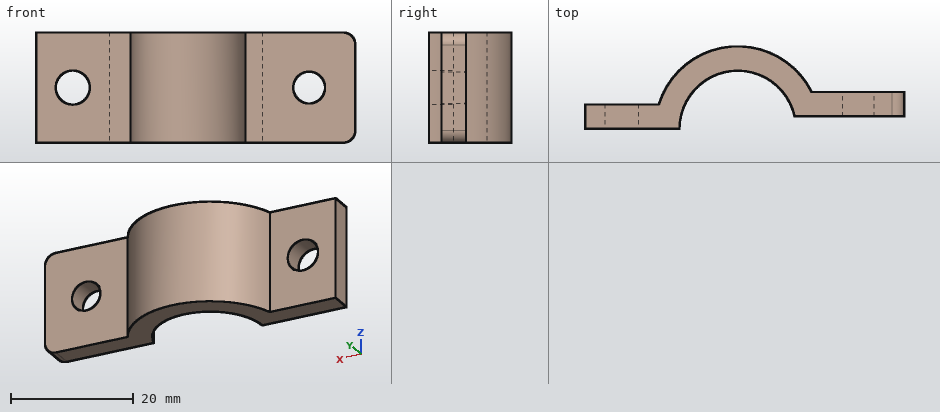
import cadquery as cq
import math

length = 52.0
width = 18.0
thickness = 4.0

outer_radius = 13.45
inner_radius = outer_radius - thickness
saddle_x = 24.85

right_step = 2.05
corner_radius = 2.05

left_hole_diameter = 5.5
left_hole_x = 6.0
right_hole_diameter = 5.15
right_hole_x = 44.45


def half_chord(radius, height):
    """Half width of a saddle circle at a given height above its centre."""
    return math.sqrt(radius**2 - height**2)


def clamp_body():
    """Constant-thickness clamp profile in XY, extruded over the full width."""
    right_top = right_step + thickness
    return (
        cq.Workplane("XY")
        .moveTo(0, 0)
        .lineTo(saddle_x - inner_radius, 0)
        .threePointArc(
            (saddle_x, inner_radius),
            (saddle_x + half_chord(inner_radius, right_step), right_step),
        )
        .lineTo(length, right_step)
        .lineTo(length, right_top)
        .lineTo(saddle_x + half_chord(outer_radius, right_top), right_top)
        .threePointArc(
            (saddle_x, outer_radius),
            (saddle_x - half_chord(outer_radius, thickness), thickness),
        )
        .lineTo(0, thickness)
        .close()
        .extrude(width)
    )


def screw_hole(x, diameter):
    """Cutter along Y through a flange at mid width."""
    return (
        cq.Workplane("XZ")
        .center(x, width / 2)
        .circle(diameter / 2)
        .extrude(-outer_radius)
    )


result = clamp_body().edges("|Y and >X").fillet(corner_radius)
result = result.cut(screw_hole(left_hole_x, left_hole_diameter))
result = result.cut(screw_hole(right_hole_x, right_hole_diameter))